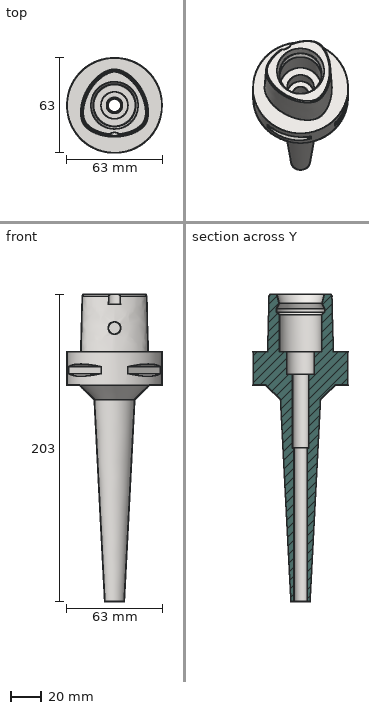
import cadquery as cq
import math

total_height = 203.0
flange_top = 165.0
flange_bottom = 143.0
neck_top = 133.4

flange_diameter = 63.0
collar_cone_diameter = 46.0
neck_top_diameter = 26.8
tip_diameter = 13.0

shank_radius = 22.3
shank_taper = 1 / 40
lobe_count = 3
lobe_height = 1.52
outline_points = 36
rim_chamfer_width = 0.8
rim_chamfer_height = 1.5

mouth_radius = 15.6
lip_radius = 14.0
lip_depth = 6.0
groove_radius = 15.8
groove_upper_depth = 9.7
groove_lower_depth = 11.8
bore_radius = 13.8
bore_start_depth = 13.5
bore_depth = 38.0
screw_recess_radius = 9.0
screw_recess_depth = 52.8
upper_channel_radius = 5.3
upper_channel_depth = 101.5
through_radius = 4.3

notch_radius = 5.0
notch_height = 6.5
notch_inner_y = -17.9
side_hole_diameter = 8.1
side_hole_z = 180.7
side_hole_floor_y = -15.5

slot_count = 4
slot_z = 152.9
slot_floor_distance = 27.6
slot_floor_height = 4.5
slot_mouth_height = 8.1


def lobed_point(mean_radius, angle):
    """Point on a constant-width outline with one lobe on +Y and a flat on -Y."""
    support = mean_radius - lobe_height * math.sin(lobe_count * angle)
    slope = -lobe_count * lobe_height * math.cos(lobe_count * angle)
    return (
        support * math.cos(angle) - slope * math.sin(angle),
        support * math.sin(angle) + slope * math.cos(angle),
    )


def lobed_outline(mean_radius, z):
    """Closed smooth outline of the shank at height z, with its seam on -Y."""
    step = 2 * math.pi / outline_points
    points = []
    for index in range(outline_points):
        x, y = lobed_point(mean_radius, index * step - math.pi / 2)
        points.append(cq.Vector(x, y, z))
    return cq.Wire.assembleEdges([cq.Edge.makeSpline(points, periodic=True)])


def lobed_frustum(bottom_z, bottom_radius, top_z, top_radius):
    """Solid between two lobed outlines at different heights."""
    wires = [lobed_outline(bottom_radius, bottom_z), lobed_outline(top_radius, top_z)]
    return cq.Workplane("XY").add(cq.Solid.makeLoft(wires, True))


def revolve_profile(points):
    """Turn an (r, z) profile about the tool axis."""
    return cq.Workplane("XZ").polyline(points).close().revolve(360, (0, 0, 0), (0, 1, 0))


def turned_body():
    """Tapered neck, collar cone and flange."""
    return revolve_profile([
        (0, 0),
        (tip_diameter / 2, 0),
        (neck_top_diameter / 2, neck_top),
        (collar_cone_diameter / 2, flange_bottom),
        (flange_diameter / 2, flange_bottom),
        (flange_diameter / 2, flange_top),
        (0, flange_top),
    ])


def shank():
    """Tapered lobed shank with a chamfered rim."""
    rim_z = total_height - rim_chamfer_height
    rim_radius = shank_radius - shank_taper * (rim_z - flange_top)
    body = lobed_frustum(flange_top, shank_radius, rim_z, rim_radius)
    rim = lobed_frustum(rim_z, rim_radius, total_height, rim_radius - rim_chamfer_width)
    return body.union(rim)


def bore():
    """Stepped through bore with a conical mouth and a gripping groove."""
    profile = [
        (0, 0),
        (mouth_radius, 0),
        (lip_radius, lip_depth),
        (groove_radius, groove_upper_depth),
        (groove_radius, groove_lower_depth),
        (bore_radius, bore_start_depth),
        (bore_radius, bore_depth),
        (screw_recess_radius, bore_depth),
        (screw_recess_radius, screw_recess_depth),
        (upper_channel_radius, screw_recess_depth),
        (upper_channel_radius, upper_channel_depth),
        (through_radius, upper_channel_depth),
        (through_radius, total_height),
        (0, total_height),
    ]
    return revolve_profile([(r, total_height - depth) for r, depth in profile])


def keyway_notch():
    """Round-backed notch in the shank rim."""
    notch_center_y = notch_inner_y - notch_radius
    return (
        cq.Workplane("XY", origin=(0, notch_center_y, total_height - notch_height))
        .circle(notch_radius)
        .extrude(notch_height)
    )


def side_hole():
    """Flat-bottomed hole drilled into the shank along Y."""
    return (
        cq.Workplane("XZ", origin=(0, side_hole_floor_y, side_hole_z))
        .circle(side_hole_diameter / 2)
        .extrude(flange_diameter / 2)
    )


def gripper_slot(angle):
    """Straight slot across the flange edge, with sloping upper and lower walls."""
    rim_distance = flange_diameter / 2
    half_floor = slot_floor_height / 2
    half_mouth = slot_mouth_height / 2
    return (
        cq.Workplane("XZ")
        .polyline([
            (slot_floor_distance, slot_z - half_floor),
            (rim_distance, slot_z - half_mouth),
            (rim_distance, slot_z + half_mouth),
            (slot_floor_distance, slot_z + half_floor),
        ])
        .close()
        .extrude(rim_distance, both=True)
        .rotate((0, 0, 0), (0, 0, 1), angle)
    )


result = turned_body().union(shank()).cut(bore()).cut(keyway_notch()).cut(side_hole())

slot_spacing = 360 / slot_count
for slot_index in range(slot_count):
    result = result.cut(gripper_slot((slot_index + 0.5) * slot_spacing))